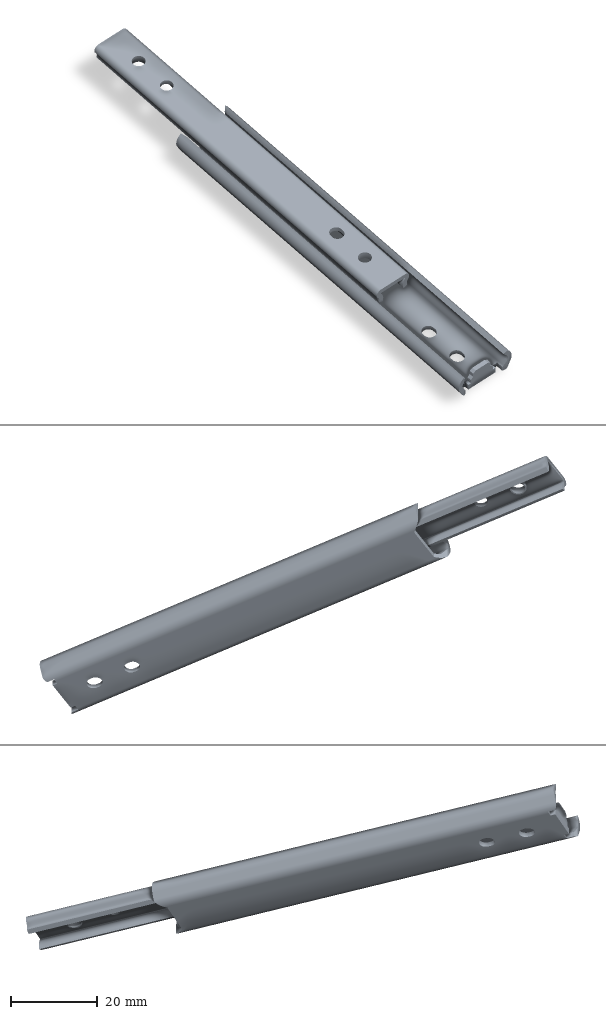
import cadquery as cq
import math

RAIL_LENGTH = 100.0
TOTAL_LENGTH = 132.7
TOTAL_HEIGHT = 7.5
SHEET = 1.2
HOLE_WIDTH = 3.2
SLOT_LENGTH = 3.7
HOLE_PITCH = 10.0

OUTER_START = TOTAL_LENGTH - RAIL_LENGTH
OUTER_HALF_WIDTH = 8.03
SIDE_RADIUS = 2.8
SIDE_CENTER_Z = 4.1
SIDE_CENTER_Y = OUTER_HALF_WIDTH - SIDE_RADIUS
LIP_ANGLE = 45.0
LIP_LENGTH = 0.8
WALL_ANGLE = -26.0
CORNER_RADIUS = 2.1

NOTCH_DEPTH = 2.4
FRONT_NOTCH_HALF_MOUTH = 6.8
FRONT_NOTCH_HALF_END = 4.5
REAR_NOTCH_HALF_MOUTH = 6.5
REAR_NOTCH_HALF_END = 5.6
REAR_LIP_CHAMFER = 0.5

TAB_THICKNESS = SHEET
TAB_HEIGHT = 4.9
TAB_FOOT_HALF_WIDTH = 4.1
TAB_FOOT_HEIGHT = 1.6
TAB_STEM_HALF_WIDTH = 3.3
TAB_SHOULDER_HEIGHT = 2.7
TAB_HEAD_HALF_WIDTH = 2.7
TAB_NECK_HEIGHT = 3.3
TAB_CORNER_HEIGHT = 4.4
TAB_TOP_HALF_WIDTH = 1.9
TAB_BEND_RADIUS = 0.5

TOP_HALF_WIDTH = 3.6
SHOULDER_RADIUS = 1.3
SHOULDER_CENTER_Z = TOTAL_HEIGHT - SHOULDER_RADIUS
GROOVE_CENTER_Y = 5.8
GROOVE_CENTER_Z = 4.2
GROOVE_END_ANGLE = 203.0

COLLAR_DIAMETER = 3.8
COLLAR_BOTTOM = 5.6


def polar(center_u, center_v, radius, angle):
    """Point on a circle, with the angle in degrees measured from the first axis to the second."""
    turn = math.radians(angle)
    return (center_u + radius * math.cos(turn), center_v + radius * math.sin(turn))


def arc_to(section, center, radius, start_angle, end_angle):
    """Continue a YZ section outline along a circle."""
    middle = polar(*center, radius, (start_angle + end_angle) / 2)
    return section.threePointArc(middle, polar(*center, radius, end_angle))


def both_sides(half_section, start):
    """Extrude a half section to a full rail and join it with its mirror image."""
    half = half_section.close().extrude(RAIL_LENGTH).translate((start, 0, 0))
    return half.union(half.mirror("XZ"))


def slot_cutter(center_x, length):
    """Vertical cutter for a hole on the rail axis; a length equal to the width makes it round."""
    if length > HOLE_WIDTH:
        outline = cq.Workplane().center(center_x, 0).slot2D(length, HOLE_WIDTH)
    else:
        outline = cq.Workplane().center(center_x, 0).circle(HOLE_WIDTH / 2)
    return outline.extrude(TOTAL_HEIGHT)


def outer_rail_channel():
    """Open channel of constant sheet thickness with inward lips."""
    side = (SIDE_CENTER_Y, SIDE_CENTER_Z)
    side_inner_radius = SIDE_RADIUS - SHEET
    corner_inner_radius = CORNER_RADIUS - SHEET

    wall_turn = math.radians(WALL_ANGLE)
    wall_top_y, wall_top_z = polar(*side, SIDE_RADIUS, WALL_ANGLE)
    wall_bottom_z = CORNER_RADIUS * (1 + math.sin(wall_turn))
    wall_bottom_y = wall_top_y + (wall_top_z - wall_bottom_z) * math.tan(wall_turn)
    floor_half_width = wall_bottom_y - CORNER_RADIUS * math.cos(wall_turn)
    corner = (floor_half_width, CORNER_RADIUS)

    lip_turn = math.radians(LIP_ANGLE)
    lip_run = -LIP_LENGTH * math.sin(lip_turn)
    lip_rise = LIP_LENGTH * math.cos(lip_turn)
    outer_y, outer_z = polar(*side, SIDE_RADIUS, LIP_ANGLE)
    inner_y, inner_z = polar(*side, side_inner_radius, LIP_ANGLE)

    section = cq.Workplane("YZ").moveTo(0, 0).lineTo(floor_half_width, 0)
    section = arc_to(section, corner, CORNER_RADIUS, -90, WALL_ANGLE)
    section = section.lineTo(wall_top_y, wall_top_z)
    section = arc_to(section, side, SIDE_RADIUS, WALL_ANGLE, LIP_ANGLE)
    section = section.lineTo(outer_y + lip_run, outer_z + lip_rise)
    section = section.lineTo(inner_y + lip_run, inner_z + lip_rise).lineTo(inner_y, inner_z)
    section = arc_to(section, side, side_inner_radius, LIP_ANGLE, WALL_ANGLE)
    section = section.lineTo(*polar(*corner, corner_inner_radius, WALL_ANGLE))
    section = arc_to(section, corner, corner_inner_radius, WALL_ANGLE, -90)
    section = section.lineTo(0, SHEET)
    return both_sides(section, OUTER_START)


def front_notch():
    """Tapered cutter that sets the floor back at the front end and trims the lip corners."""
    return (
        cq.Workplane()
        .moveTo(OUTER_START, -FRONT_NOTCH_HALF_MOUTH)
        .lineTo(OUTER_START + NOTCH_DEPTH, -FRONT_NOTCH_HALF_END)
        .lineTo(OUTER_START + NOTCH_DEPTH, FRONT_NOTCH_HALF_END)
        .lineTo(OUTER_START, FRONT_NOTCH_HALF_MOUTH)
        .close()
        .extrude(TOTAL_HEIGHT)
    )


def rear_notch():
    """Cutter that sets the floor back at the rear end and chamfers the lip corners."""
    chamfer_x = TOTAL_LENGTH - REAR_LIP_CHAMFER
    floor_end = TOTAL_LENGTH - NOTCH_DEPTH
    return (
        cq.Workplane()
        .moveTo(TOTAL_LENGTH, -REAR_NOTCH_HALF_MOUTH)
        .lineTo(chamfer_x, -REAR_NOTCH_HALF_END)
        .lineTo(floor_end, -REAR_NOTCH_HALF_END)
        .lineTo(floor_end, REAR_NOTCH_HALF_END)
        .lineTo(chamfer_x, REAR_NOTCH_HALF_END)
        .lineTo(TOTAL_LENGTH, REAR_NOTCH_HALF_MOUTH)
        .close()
        .extrude(TOTAL_HEIGHT)
    )


def stop_tab():
    """Upright plate with a wide foot, a stem and a narrower head, joined to the end of the floor."""
    half_outline = [
        (0, 0),
        (TAB_FOOT_HALF_WIDTH, 0),
        (TAB_FOOT_HALF_WIDTH, TAB_FOOT_HEIGHT),
        (TAB_STEM_HALF_WIDTH, TAB_FOOT_HEIGHT),
        (TAB_STEM_HALF_WIDTH, TAB_SHOULDER_HEIGHT),
        (TAB_HEAD_HALF_WIDTH, TAB_NECK_HEIGHT),
        (TAB_HEAD_HALF_WIDTH, TAB_CORNER_HEIGHT),
        (TAB_TOP_HALF_WIDTH, TAB_HEIGHT),
        (0, TAB_HEIGHT),
    ]
    half = cq.Workplane("YZ").polyline(half_outline).close().extrude(TAB_THICKNESS)
    half = half.translate((TOTAL_LENGTH - NOTCH_DEPTH, 0, 0))
    return half.union(half.mirror("XZ"))


def tab_bend():
    """Concave rounding between the floor and the foot of the stop tab."""
    floor_end = TOTAL_LENGTH - NOTCH_DEPTH
    center = (floor_end - TAB_BEND_RADIUS, SHEET + TAB_BEND_RADIUS)
    return (
        cq.Workplane("XZ")
        .moveTo(floor_end, SHEET)
        .lineTo(center[0], SHEET)
        .threePointArc(polar(*center, TAB_BEND_RADIUS, -45), (floor_end, center[1]))
        .close()
        .extrude(TAB_FOOT_HALF_WIDTH, both=True)
    )


def make_outer_rail():
    """Outer rail with notched ends, a stop tab and two slots near the rear end."""
    rail = outer_rail_channel().cut(front_notch()).cut(rear_notch()).union(stop_tab()).union(tab_bend())
    for step in (1, 2):
        rail = rail.cut(slot_cutter(TOTAL_LENGTH - step * HOLE_PITCH, SLOT_LENGTH))
    return rail


def inner_rail_channel():
    """Downward-open channel whose legs curve in below the shoulder and then around the ball groove."""
    shoulder = (TOP_HALF_WIDTH, SHOULDER_CENTER_Z)
    shoulder_inner_radius = SHOULDER_RADIUS - SHEET
    groove = (GROOVE_CENTER_Y, GROOVE_CENTER_Z)

    run = GROOVE_CENTER_Y - TOP_HALF_WIDTH
    drop = SHOULDER_CENTER_Z - GROOVE_CENTER_Z
    shoulder_end = -math.degrees(math.atan2(drop, run))
    groove_start = shoulder_end + 180
    groove_radius = math.hypot(run, drop) - SHOULDER_RADIUS
    groove_back_radius = groove_radius + SHEET

    section = cq.Workplane("YZ").moveTo(0, TOTAL_HEIGHT).lineTo(TOP_HALF_WIDTH, TOTAL_HEIGHT)
    section = arc_to(section, shoulder, SHOULDER_RADIUS, 90, shoulder_end)
    section = arc_to(section, groove, groove_radius, groove_start, GROOVE_END_ANGLE)
    section = section.lineTo(*polar(*groove, groove_back_radius, GROOVE_END_ANGLE))
    section = arc_to(section, groove, groove_back_radius, GROOVE_END_ANGLE, groove_start)
    section = arc_to(section, shoulder, shoulder_inner_radius, shoulder_end, 90)
    section = section.lineTo(0, TOTAL_HEIGHT - SHEET)
    return both_sides(section, 0)


def collar(center_x):
    """Round collar reaching below the top plate around a hole."""
    blank = cq.Workplane().workplane(offset=COLLAR_BOTTOM).center(center_x, 0)
    return blank.circle(COLLAR_DIAMETER / 2).extrude(TOTAL_HEIGHT - COLLAR_BOTTOM)


def make_inner_rail():
    """Inner rail with a collared hole near each end, a plain hole and a slot."""
    first_hole = HOLE_PITCH
    second_hole = 2 * HOLE_PITCH
    slot = RAIL_LENGTH - 2 * HOLE_PITCH
    last_hole = RAIL_LENGTH - HOLE_PITCH
    rail = inner_rail_channel().union(collar(first_hole)).union(collar(last_hole))
    for center_x in (first_hole, second_hole, last_hole):
        rail = rail.cut(slot_cutter(center_x, HOLE_WIDTH))
    return rail.cut(slot_cutter(slot, SLOT_LENGTH))


outer_rail = make_outer_rail()
inner_rail = make_inner_rail()

result = cq.Compound.makeCompound([outer_rail.val(), inner_rail.val()])